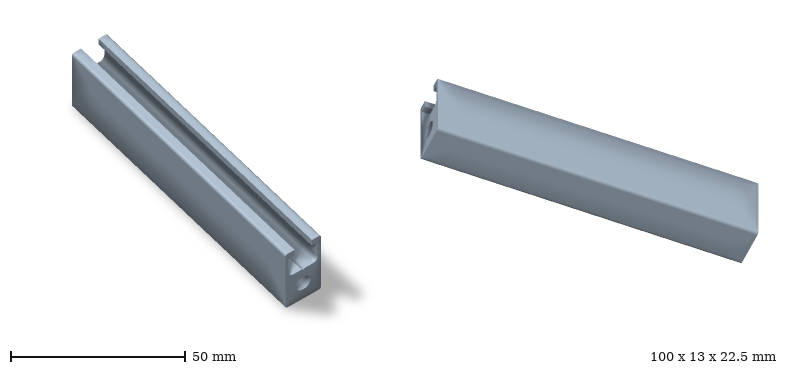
import cadquery as cq

length = 100.0
width = 13.0
height = 22.5
corner_radius = 1.0

mouth_width = 6.3
lip_thickness = 2.4
slot_width = 10.5
slot_depth = 10.0
slot_floor_radius = 1.7

groove_width = 1.0
groove_depth = 0.5

bore_diameter = 5.2
bore_height = 6.5

slot_floor = height - slot_depth


def make_body():
    """Solid bar with rounded lengthwise edges, resting on Z = 0."""
    bar = cq.Workplane("XY").box(length, width, height, centered=(True, True, False))
    return bar.edges("|X").fillet(corner_radius)


def make_slot():
    """T-slot cutter: a round-bottomed chamber below a narrower mouth."""
    chamber = (
        cq.Workplane("XY", origin=(0, 0, slot_floor))
        .box(length, slot_width, slot_depth - lip_thickness, centered=(True, True, False))
        .edges("|X and <Z")
        .fillet(slot_floor_radius)
    )
    mouth = cq.Workplane("XY", origin=(0, 0, height - lip_thickness)).box(
        length, mouth_width, lip_thickness, centered=(True, True, False)
    )
    return chamber.union(mouth)


def make_groove():
    """Triangular cutter hanging below the slot floor."""
    return (
        cq.Workplane("YZ")
        .polyline([
            (-groove_width / 2, slot_floor),
            (0, slot_floor - groove_depth),
            (groove_width / 2, slot_floor),
        ])
        .close()
        .extrude(length / 2, both=True)
    )


def make_bore():
    """Round cutter along the rail, below the slot."""
    return (
        cq.Workplane("YZ")
        .center(0, bore_height)
        .circle(bore_diameter / 2)
        .extrude(length / 2, both=True)
    )


result = make_body().cut(make_slot()).cut(make_groove()).cut(make_bore())